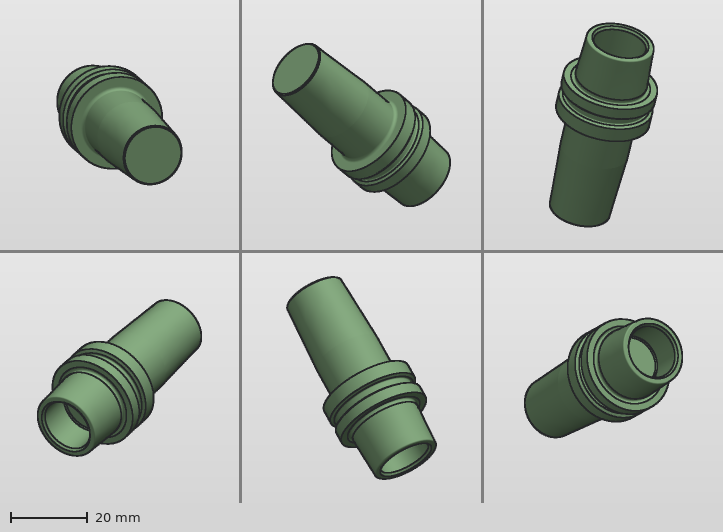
import cadquery as cq
import math


TOTAL_LENGTH = 52.9
SHANK_END = 11.8
FLANGE_START = 12.75
FLANGE_END = 22.85
NOSE_TAPER_START = 33.85

FLANGE_DIAMETER = 25.0
FLANGE_RADIUS = FLANGE_DIAMETER / 2
BODY_RADIUS = 9.0
SHANK_SMALL_RADIUS = BODY_RADIUS
SHANK_LARGE_RADIUS = 9.6
NOSE_TIP_RADIUS = 8.05

SHANK_EDGE_ROUND = 0.35
NOSE_TIP_CHAMFER = 0.3
BODY_FILLET = 0.9

RELIEF_RADIUS = 9.4
RELIEF_SLOPE_LENGTH = 0.3
RELIEF_FILLET = 0.3
RELIEF_FILLET_ANGLE = math.radians(25)

RECESS_RADIUS = 0.45
RECESS_START = FLANGE_START - 0.1
RECESS_WALL_ANGLE = math.radians(30)

GROOVE_START = 15.85
GROOVE_END = 19.0
GROOVE_FLOOR_RADIUS = 10.95
GROOVE_LIP_WIDTH = 0.5
GROOVE_LIP_ANGLE = math.radians(27)
GROOVE_FILLET = 0.3

BORE_RADIUS = 7.0
BORE_DEPTH = 10.15
BORE_MOUTH_RADIUS = 7.5
BORE_MOUTH_DEPTH = 0.75
BORE_FLOOR_CHAMFER = 0.35


def revolve_about_x(profile):
    """Turn a closed (x, radius) profile about the X axis."""
    return profile.revolve(360, (0, 0, 0), (1, 0, 0))


def holder_body():
    """Shank, relief, flange, body and tapered nose as one turned solid."""
    slope_end_x = SHANK_END + RELIEF_SLOPE_LENGTH
    slope_end_radius = RELIEF_RADIUS + RELIEF_FILLET * (1 - math.cos(RELIEF_FILLET_ANGLE))
    relief_start_x = slope_end_x + RELIEF_FILLET * math.sin(RELIEF_FILLET_ANGLE)

    recess_centre_radius = RELIEF_RADIUS + RECESS_RADIUS
    recess_wall_x = RECESS_START + RECESS_RADIUS * math.cos(RECESS_WALL_ANGLE)
    recess_wall_radius = recess_centre_radius + RECESS_RADIUS * math.sin(RECESS_WALL_ANGLE)
    recess_rim_radius = recess_wall_radius + (recess_wall_x - FLANGE_START) / math.tan(RECESS_WALL_ANGLE)

    profile = (
        cq.Workplane("XY")
        .lineTo(0, SHANK_SMALL_RADIUS - SHANK_EDGE_ROUND)
        .radiusArc((SHANK_EDGE_ROUND, SHANK_SMALL_RADIUS), SHANK_EDGE_ROUND)
        .lineTo(SHANK_END, SHANK_LARGE_RADIUS)
        .lineTo(slope_end_x, slope_end_radius)
        .radiusArc((relief_start_x, RELIEF_RADIUS), -RELIEF_FILLET)
        .lineTo(RECESS_START, RELIEF_RADIUS)
        .threePointArc(
            (RECESS_START + RECESS_RADIUS, recess_centre_radius),
            (recess_wall_x, recess_wall_radius),
        )
        .lineTo(FLANGE_START, recess_rim_radius)
        .lineTo(FLANGE_START, FLANGE_RADIUS)
        .lineTo(FLANGE_END, FLANGE_RADIUS)
        .lineTo(FLANGE_END, BODY_RADIUS + BODY_FILLET)
        .radiusArc((FLANGE_END + BODY_FILLET, BODY_RADIUS), -BODY_FILLET)
        .lineTo(NOSE_TAPER_START, BODY_RADIUS)
        .lineTo(TOTAL_LENGTH - NOSE_TIP_CHAMFER, NOSE_TIP_RADIUS)
        .lineTo(TOTAL_LENGTH, NOSE_TIP_RADIUS - NOSE_TIP_CHAMFER)
        .lineTo(TOTAL_LENGTH, 0)
        .close()
    )
    return revolve_about_x(profile)


def gripper_groove():
    """Ring-shaped cutter with conical lips and filleted floor corners."""
    lip_radius = FLANGE_RADIUS - GROOVE_LIP_WIDTH / math.tan(GROOVE_LIP_ANGLE)
    channel_start = GROOVE_START + GROOVE_LIP_WIDTH
    channel_end = GROOVE_END - GROOVE_LIP_WIDTH
    section = (
        cq.Sketch()
        .polygon([
            (GROOVE_START, FLANGE_RADIUS),
            (channel_start, lip_radius),
            (channel_start, GROOVE_FLOOR_RADIUS),
            (channel_end, GROOVE_FLOOR_RADIUS),
            (channel_end, lip_radius),
            (GROOVE_END, FLANGE_RADIUS),
            (GROOVE_START, FLANGE_RADIUS),
        ])
        .vertices("<Y")
        .fillet(GROOVE_FILLET)
    )
    return revolve_about_x(cq.Workplane("XY").placeSketch(section))


def shank_bore():
    """Blind bore with a conical mouth and a chamfered floor corner."""
    profile = (
        cq.Workplane("XY")
        .lineTo(0, BORE_MOUTH_RADIUS)
        .lineTo(BORE_MOUTH_DEPTH, BORE_RADIUS)
        .lineTo(BORE_DEPTH - BORE_FLOOR_CHAMFER, BORE_RADIUS)
        .lineTo(BORE_DEPTH, BORE_RADIUS - BORE_FLOOR_CHAMFER)
        .lineTo(BORE_DEPTH, 0)
        .close()
    )
    return revolve_about_x(profile)


result = holder_body().cut(gripper_groove()).cut(shank_bore())